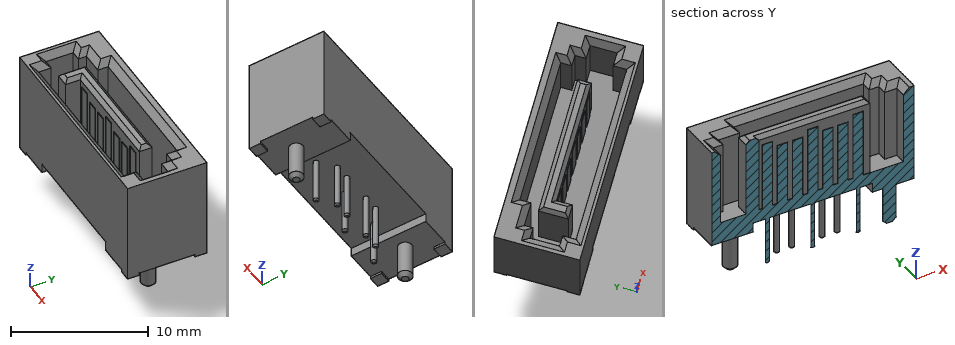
import cadquery as cq


length = 17.0
width = 6.5
height = 8.5
foot_size = 0.97
foot_height = 0.2
recess_length = 10.0
recess_height = 0.99

cavity_depth = 6.46
mouth_bevel = 0.51
mouth_front = -3.03
mouth_back = 2.75
front_left = -7.41
front_right = 7.07
back_left = -5.63
back_right = 6.25
end_left = -8.23
end_right = 8.1
end_front = -2.0
end_back_left = 1.24
end_back_right = 1.05
shoulder = 1.9

tongue_left = back_left
tongue_right = 4.8
tongue_back = 0.7
tongue_front = -0.35
leg_front = -1.56
leg_width = 1.12
tongue_bevel = 0.3

contact_count = 7
ground_spacing = 3
contact_span = 7.62
pitch = contact_span / (contact_count - 1)
contact_width = 0.88
contact_thickness = 0.05
ground_contact_drop = 0.8
signal_contact_drop = 1.31
pin_diameter = 0.45
pin_bevel = 0.12
peg_diameter = 1.15
peg_bevel = 0.3
peg_x = 6.45
row_spacing = 1.0
row_y = row_spacing / 2
pin_reach = 3.0

cavity_floor = height - cavity_depth


def make_housing():
    """Block standing on four corner feet, with a raised channel under its middle."""
    block = cq.Workplane("XY").box(length, width, height, centered=(True, True, False))
    between_feet_x = cq.Workplane("XY").box(
        length - 2 * foot_size, width, foot_height, centered=(True, True, False)
    )
    between_feet_y = cq.Workplane("XY").box(
        length, width - 2 * foot_size, foot_height, centered=(True, True, False)
    )
    recess = cq.Workplane("XY").box(
        recess_length, width, recess_height, centered=(True, True, False)
    )
    return block.cut(between_feet_x).cut(between_feet_y).cut(recess)


def make_cavity():
    """Stepped, keyed pocket with a 45 degree lead-in around its mouth."""
    outline = [
        (front_left, mouth_front),
        (front_right, mouth_front),
        (front_right, end_front),
        (end_right, end_front),
        (end_right, end_back_right),
        (front_right, end_back_right),
        (front_right, shoulder),
        (back_right, shoulder),
        (back_right, mouth_back),
        (back_left, mouth_back),
        (back_left, shoulder),
        (front_left, shoulder),
        (front_left, end_back_left),
        (end_left, end_back_left),
        (end_left, end_front),
        (front_left, end_front),
    ]
    lead_in = (
        cq.Workplane("XY", origin=(0, 0, height + mouth_bevel))
        .polyline(outline)
        .close()
        .extrude(-2 * mouth_bevel)
        .faces("<Z")
        .chamfer(mouth_bevel)
    )
    pocket = (
        cq.Workplane("XY", origin=(0, 0, height))
        .polyline(outline)
        .close()
        .offset2D(-mouth_bevel, "intersection")
        .extrude(-cavity_depth)
    )
    return pocket.union(lead_in)


def make_tongue():
    """L-shaped blade rising from the cavity floor, bevelled around its top."""
    leg_right = tongue_left + leg_width
    outline = [
        (tongue_left, tongue_back),
        (tongue_right, tongue_back),
        (tongue_right, tongue_front),
        (leg_right, tongue_front),
        (leg_right, leg_front),
        (tongue_left, leg_front),
    ]
    return (
        cq.Workplane("XY", origin=(0, 0, cavity_floor))
        .polyline(outline)
        .close()
        .extrude(cavity_depth)
        .faces(">Z")
        .chamfer(tongue_bevel)
    )


def make_contact(x, drop):
    """Flat contact, half sunk into the front face of the tongue and half standing proud."""
    return cq.Workplane("XY", origin=(x, tongue_front, cavity_floor)).box(
        contact_width, 2 * contact_thickness, cavity_depth - drop, centered=(True, True, False)
    )


def make_post(x, y, diameter, root, bevel):
    """Round post from the housing underside down to the pin tips."""
    return (
        cq.Workplane("XY", origin=(x, y, -pin_reach))
        .circle(diameter / 2)
        .extrude(pin_reach + root)
        .faces("<Z")
        .chamfer(bevel)
    )


result = make_housing().cut(make_cavity()).union(make_tongue())

for i in range(contact_count):
    x = i * pitch - contact_span / 2
    is_ground = i % ground_spacing == 0
    drop = ground_contact_drop if is_ground else signal_contact_drop
    pin_y = -row_y if is_ground else row_y
    result = result.union(make_contact(x, drop))
    result = result.union(make_post(x, pin_y, pin_diameter, recess_height, pin_bevel))

for side in (-1, 1):
    result = result.union(
        make_post(side * peg_x, -side * row_y, peg_diameter, foot_height, peg_bevel)
    )